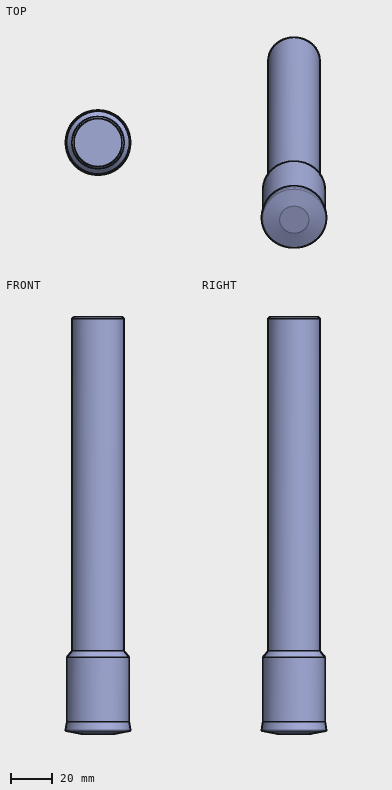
import cadquery as cq

TOTAL_LENGTH = 200.0

SHANK_RADIUS = 25.0 / 2
SHANK_CHAMFER = 1.0
COLLAR_RADIUS = 30.0 / 2
COLLAR_TOP = 37.0
CONE_HEIGHT = 3.0

TIP_TOP = 6.0
RIM_RADIUS = 31.4 / 2
RIM_HEIGHT = 1.7
RIM_FILLET = 0.6
FLAT_RADIUS = 7.0


def revolve_about_z(profile):
    """Turn a closed half profile, drawn in the XZ plane, around the Z axis."""
    return profile.revolve(360, (0, 0, 0), (0, 1, 0))


def make_holder():
    """Turned holder standing on the flat top of the tip."""
    shank_start = COLLAR_TOP + CONE_HEIGHT
    profile = (
        cq.Workplane("XZ")
        .moveTo(0, TIP_TOP)
        .lineTo(COLLAR_RADIUS, TIP_TOP)
        .lineTo(COLLAR_RADIUS, COLLAR_TOP)
        .lineTo(SHANK_RADIUS, shank_start)
        .lineTo(SHANK_RADIUS, TOTAL_LENGTH - SHANK_CHAMFER)
        .lineTo(SHANK_RADIUS - SHANK_CHAMFER, TOTAL_LENGTH)
        .lineTo(0, TOTAL_LENGTH)
        .close()
    )
    return revolve_about_z(profile)


def make_tip():
    """Flared disc with a rounded rim and a sloping underside around a central flat."""
    profile = (
        cq.Workplane("XZ")
        .lineTo(FLAT_RADIUS, 0)
        .lineTo(RIM_RADIUS, RIM_HEIGHT)
        .lineTo(COLLAR_RADIUS, TIP_TOP)
        .lineTo(0, TIP_TOP)
        .close()
    )
    rim_edge = cq.selectors.RadiusNthSelector(-1)
    return revolve_about_z(profile).edges(rim_edge).fillet(RIM_FILLET)


holder = make_holder()
tip = make_tip()

result = cq.Compound.makeCompound([holder.val(), tip.val()])